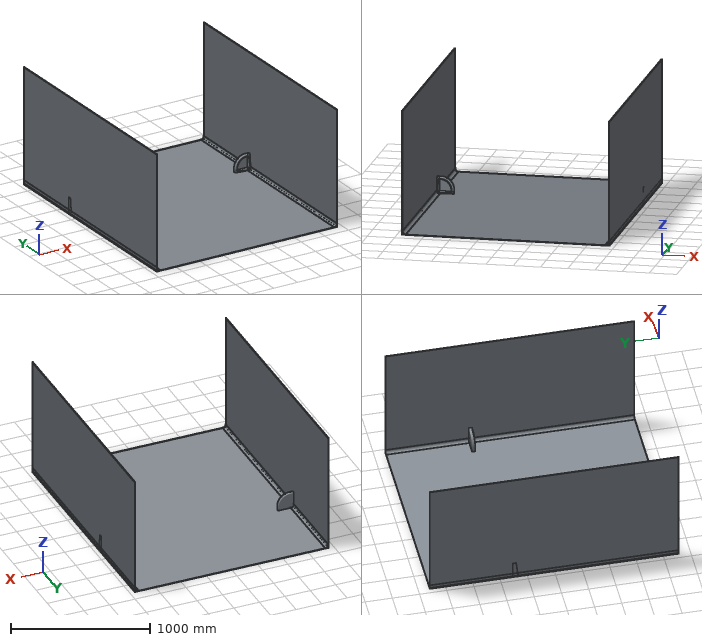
import cadquery as cq
import math

WIDTH = 1523.0
LENGTH = 1829.0
WALL_HEIGHT = 915.0
SHEET = 5.0
INNER_X = WIDTH / 2 - SHEET

STRIP_LEG = 24.7
STRIP_LIP = 1.0
COVE_RADIUS = 19.2

GUSSET_LEG = 123.0
GUSSET_FLAT = 27.0
GUSSET_BACK_Y = 304.0
PLATE_THICKNESS = 25.0
PLATE_EDGE_RADIUS = 5.0
RIB_DEPTH = 38.0
RIB_WIDTH = 17.4

PANEL_THICKNESS = 18.0
ARC_RIM_WIDTH = 20.0
POCKET_DRAFT = 35.0

COS_45 = math.sqrt(0.5)


def corner_plane(y):
    """XZ workplane with its origin in the left inner corner of the tray and its normal along -Y."""
    return cq.Workplane("XZ", origin=(-INNER_X, y, SHEET))


def make_floor():
    return cq.Workplane("XY").box(WIDTH, LENGTH, SHEET, centered=(True, True, False))


def make_wall():
    """The left wall, standing on the floor."""
    wall = cq.Workplane("XY").box(SHEET, LENGTH, WALL_HEIGHT, centered=(False, True, False))
    return wall.translate((-WIDTH / 2, 0, SHEET))


def make_strip():
    """The left corner strip, running the whole length of the tray."""
    cove_end = STRIP_LIP + COVE_RADIUS
    cove_middle = cove_end - COVE_RADIUS * COS_45
    return (
        corner_plane(LENGTH / 2)
        .lineTo(STRIP_LEG, 0)
        .lineTo(STRIP_LEG, STRIP_LIP)
        .lineTo(cove_end, STRIP_LIP)
        .threePointArc((cove_middle, cove_middle), (STRIP_LIP, cove_end))
        .lineTo(STRIP_LIP, STRIP_LEG)
        .lineTo(0, STRIP_LEG)
        .close()
        .extrude(LENGTH)
    )


def quarter_outline(y, start, end):
    """Square corner at (start, start), legs reaching to end, joined by two short flats and an arc."""
    arc_middle = GUSSET_FLAT + (end - GUSSET_FLAT) * COS_45
    return (
        corner_plane(y)
        .moveTo(start, start)
        .lineTo(end, start)
        .lineTo(end, GUSSET_FLAT)
        .threePointArc((arc_middle, arc_middle), (GUSSET_FLAT, end))
        .lineTo(start, end)
        .close()
    )


def make_plate():
    """Quarter-round plate with its free edges rounded; the edges on the wall and floor stay sharp."""
    plate = quarter_outline(GUSSET_BACK_Y, 0, GUSSET_LEG).extrude(PLATE_THICKNESS)
    free_edges = plate.edges("%CIRCLE or (|Z and >X) or (|X and >Z)")
    return free_edges.fillet(PLATE_EDGE_RADIUS)


def make_floor_rib():
    """Rib along the floor, deepest in the corner and flush with the plate front at its tip."""
    root_y = GUSSET_BACK_Y - PLATE_THICKNESS / 2
    return (
        cq.Workplane("XY", origin=(-INNER_X, 0, SHEET))
        .moveTo(0, root_y)
        .lineTo(0, GUSSET_BACK_Y - RIB_DEPTH)
        .lineTo(GUSSET_LEG - PLATE_EDGE_RADIUS, GUSSET_BACK_Y - PLATE_THICKNESS)
        .lineTo(GUSSET_LEG - PLATE_EDGE_RADIUS, root_y)
        .close()
        .extrude(RIB_WIDTH)
    )


def make_wall_rib():
    """The floor rib mirrored across the 45 degree plane through the inner corner."""
    corner = (-INNER_X, 0, SHEET)
    return make_floor_rib().mirror(cq.Vector(1, 0, -1), corner)


def make_pocket():
    """Drafted recess that leaves the panel, the ribs and the rim along the arc."""
    panel_front_y = GUSSET_BACK_Y - PANEL_THICKNESS
    outline = quarter_outline(panel_front_y, RIB_WIDTH, GUSSET_LEG - ARC_RIM_WIDTH)
    return outline.extrude(RIB_DEPTH - PANEL_THICKNESS, taper=-POCKET_DRAFT)


def make_gusset():
    """The left gusset, notched to fit over the corner strip."""
    blank = make_plate().union(make_floor_rib()).union(make_wall_rib())
    return blank.cut(make_pocket()).cut(make_strip())


bodies = [make_floor().val()]
for make_side_body in (make_wall, make_strip, make_gusset):
    left_body = make_side_body()
    right_body = left_body.mirror("YZ")
    bodies.extend([left_body.val(), right_body.val()])

result = cq.Compound.makeCompound(bodies)